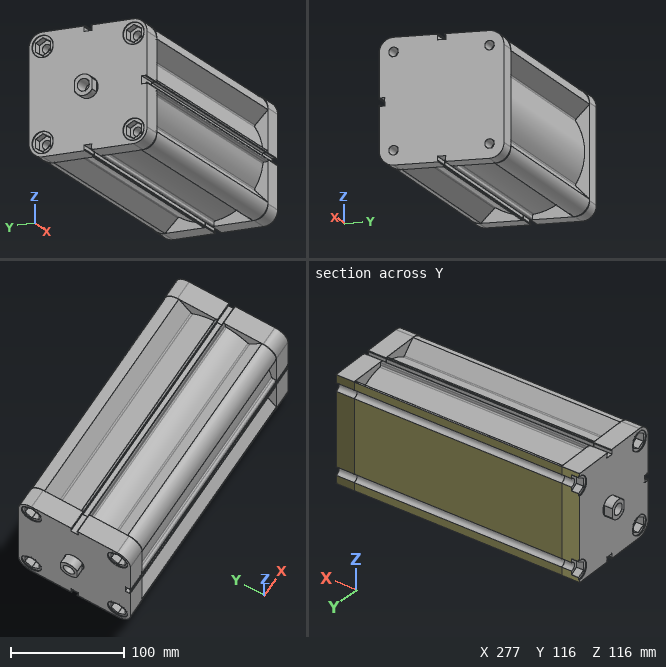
import cadquery as cq
import math

total_length = 277.0
body_size = 116.0
half_size = body_size / 2
rod_reach = 9.5
cap_thickness = 20.0
cap_corner_radius = 13.5

barrel_corner_radius = 15.2
core_radius = 53.5
column_width = 15.0
root_fillet = 1.5
rail_width = 10.2
rail_edge_radius = 0.8
root_tolerance = 0.15

slot_mouth_width = 5.8
cap_slot_inner_width = 7.5
barrel_slot_inner_width = 6.5
slot_lip = 1.0
slot_depth = 5.3
slot_angles = (0, 90, 180)
recess_angles = (0, 90, 180, 270)

tie_hole_pitch = 89.2
tie_hole_diameter = 8.5
spot_face_diameter = 20.5
spot_face_depth = 1.0
hex_across_flats = 14.5
hex_depth = 9.0

rod_diameter = 20.0
rod_across_flats = 17.2
rod_collar = 0.8
rod_hole_diameter = 11.5
rod_hole_depth = 16.5
drill_point_angle = 118.0

front_cap_x = rod_reach
barrel_x = front_cap_x + cap_thickness
rear_cap_x = total_length - cap_thickness
barrel_length = rear_cap_x - barrel_x


def section_at(x):
    """Workplane across the cylinder axis at x; local x is +Z, local y is -Y, normal is +X."""
    return cq.Workplane(cq.Plane(origin=(x, 0, 0), xDir=(0, 0, 1), normal=(1, 0, 0)))


def rounded_square(x, length, corner_radius):
    return section_at(x).rect(body_size, body_size).extrude(length).edges("|X").fillet(corner_radius)


def tie_holes(shape, x, length):
    """Cut the four tie-rod holes along a body."""
    holes = (
        section_at(x)
        .rect(tie_hole_pitch, tie_hole_pitch, forConstruction=True)
        .vertices()
        .circle(tie_hole_diameter / 2)
        .extrude(length)
    )
    return shape.cut(holes)


def sensor_slots(shape, x, length, inner_width):
    """Cut a slot into every slotted side, widened to inner_width below its two lips."""
    mouth = section_at(x).center(half_size - slot_depth / 2, 0).rect(slot_depth, slot_mouth_width)
    inner_height = slot_depth - slot_lip
    inner_centre = half_size - slot_lip - inner_height / 2
    inner = section_at(x).center(inner_centre, 0).rect(inner_height, inner_width)
    slot = mouth.extrude(length).union(inner.extrude(length))
    for angle in slot_angles:
        shape = shape.cut(slot.rotate((0, 0, 0), (1, 0, 0), angle))
    return shape


def make_cap(x):
    cap = rounded_square(x, cap_thickness, cap_corner_radius)
    cap = sensor_slots(cap, x, cap_thickness, cap_slot_inner_width)
    return tie_holes(cap, x, cap_thickness)


def make_front_cap():
    """Cap with the rod bore and a spot-faced hexagon socket at each tie-rod hole."""
    cap = make_cap(front_cap_x)
    hex_across_corners = hex_across_flats / math.cos(math.pi / 6)
    corners = section_at(front_cap_x).rect(tie_hole_pitch, tie_hole_pitch, forConstruction=True).vertices()
    sockets = corners.polygon(6, hex_across_corners).extrude(hex_depth)
    spot_faces = corners.circle(spot_face_diameter / 2).extrude(spot_face_depth)
    rod_bore = section_at(front_cap_x).circle(rod_diameter / 2).extrude(cap_thickness)
    return cap.cut(sockets).cut(spot_faces).cut(rod_bore)


def make_barrel():
    """Round core joined to four corner columns with 45 degree flanks and three slotted rails."""
    barrel = rounded_square(barrel_x, barrel_length, barrel_corner_radius)

    recess_half_width = half_size - column_width
    recess = (
        section_at(barrel_x)
        .moveTo(half_size, -recess_half_width)
        .lineTo(half_size, recess_half_width)
        .lineTo(half_size - recess_half_width, 0)
        .close()
        .extrude(barrel_length)
    )
    for angle in recess_angles:
        barrel = barrel.cut(recess.rotate((0, 0, 0), (1, 0, 0), angle))

    barrel = barrel.union(section_at(barrel_x).circle(core_radius).extrude(barrel_length))
    rail = section_at(barrel_x).center(half_size / 2, 0).rect(half_size, rail_width).extrude(barrel_length)
    rail = rail.faces(">Z").edges("|X").fillet(rail_edge_radius)
    for angle in slot_angles:
        barrel = barrel.union(rail.rotate((0, 0, 0), (1, 0, 0), angle))

    def is_root(edge):
        centre = edge.Center()
        return abs(math.hypot(centre.y, centre.z) - core_radius) < root_tolerance

    roots = barrel.edges("|X").filter(is_root)
    barrel = roots.fillet(root_fillet)
    barrel = sensor_slots(barrel, barrel_x, barrel_length, barrel_slot_inner_width)
    return tie_holes(barrel, barrel_x, barrel_length)


def make_rod():
    """Rod through the front cap, with two flats and a drilled hole in its tip."""
    rod = section_at(0).circle(rod_diameter / 2).extrude(barrel_x)

    flat_length = rod_reach - rod_collar
    flat_cut = section_at(0).rect(rod_diameter, rod_diameter).rect(rod_diameter, rod_across_flats)
    rod = rod.cut(flat_cut.extrude(flat_length))

    hole_radius = rod_hole_diameter / 2
    point_length = hole_radius / math.tan(math.radians(drill_point_angle / 2))
    hole = (
        cq.Workplane("XZ")
        .lineTo(0, hole_radius)
        .lineTo(rod_hole_depth, hole_radius)
        .lineTo(rod_hole_depth + point_length, 0)
        .close()
        .revolve(360, (0, 0, 0), (1, 0, 0))
    )
    return rod.cut(hole)


front_cap = make_front_cap()
barrel = make_barrel()
rear_cap = make_cap(rear_cap_x)
rod = make_rod()

result = cq.Compound.makeCompound([front_cap.val(), barrel.val(), rear_cap.val(), rod.val()])